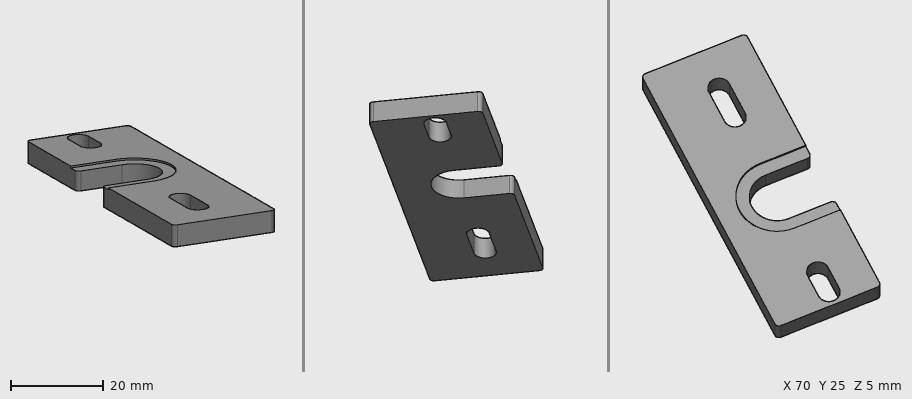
import cadquery as cq

length = 70.0
width = 25.0
thickness = 5.0
corner_radius = 1.0

feature_line_y = 11.0

notch_x = 30.0
notch_radius = 6.0
step_radius = 8.95
step_depth = 0.4

slot_width = 4.9
slot_spans = [(0.9, 11.4), (49.4, 62.45)]


def u_cutter(radius, bottom):
    """Round-ended channel open at the front edge, from bottom to the top face."""
    height = thickness - bottom
    channel = cq.Workplane("XY").box(2 * radius, feature_line_y, height, centered=(True, False, False))
    round_end = cq.Workplane("XY").center(0, feature_line_y).circle(radius).extrude(height)
    return channel.union(round_end).translate((notch_x, 0, bottom))


def slot_cutter(left, right):
    """Round-ended slot through the full thickness."""
    return (
        cq.Workplane("XY")
        .center((left + right) / 2, feature_line_y)
        .slot2D(right - left, slot_width)
        .extrude(thickness)
    )


plate = cq.Workplane("XY").box(length, width, thickness, centered=False)
plate = plate.cut(u_cutter(notch_radius, 0))

outer_corners = plate.edges("|Z").edges("<X or >X")
plate = outer_corners.fillet(corner_radius)
mouth_corners = plate.edges(
    cq.selectors.BoxSelector(
        (notch_x - step_radius, -corner_radius, -thickness),
        (notch_x + step_radius, corner_radius, 2 * thickness),
    )
).edges("|Z")
plate = mouth_corners.fillet(corner_radius)

plate = plate.cut(u_cutter(step_radius, thickness - step_depth))
for left, right in slot_spans:
    plate = plate.cut(slot_cutter(left, right))

result = plate